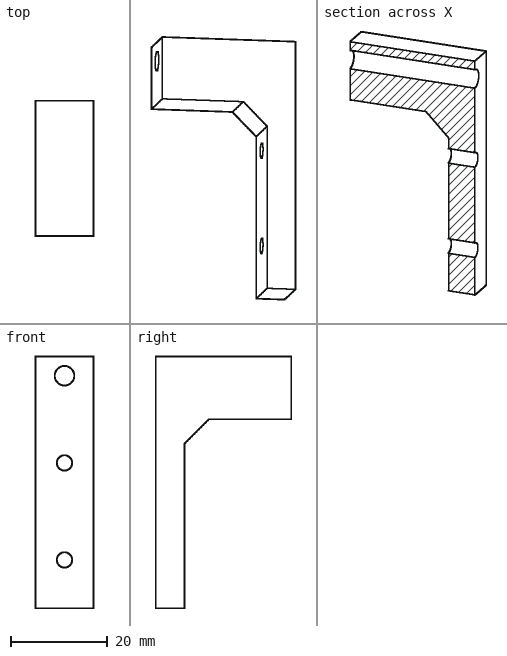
import cadquery as cq

width = 12.0
depth = 28.0
height = 52.0

leg_thickness = 6.0
head_height = 13.0
gusset_size = 5.0

head_hole_diameter = 4.0
head_hole_drop = 4.0
leg_hole_diameter = 3.1
lower_hole_height = 10.0
leg_hole_spacing = 20.0

head_bottom = height - head_height


def bracket_body():
    """Extrude the L-shaped profile, with its sloped inner corner, across the width."""
    return (
        cq.Workplane("YZ")
        .moveTo(0, 0)
        .lineTo(leg_thickness, 0)
        .lineTo(leg_thickness, head_bottom - gusset_size)
        .lineTo(leg_thickness + gusset_size, head_bottom)
        .lineTo(depth, head_bottom)
        .lineTo(depth, height)
        .lineTo(0, height)
        .close()
        .extrude(width / 2, both=True)
    )


def through_hole(diameter, hole_height):
    """Cylinder along Y through the full depth at the given height."""
    centre = cq.Vector(0, 0, hole_height)
    along_y = cq.Vector(0, 1, 0)
    return cq.Solid.makeCylinder(diameter / 2, depth, centre, along_y)


result = bracket_body()
result = result.cut(through_hole(head_hole_diameter, height - head_hole_drop))
for hole_height in (lower_hole_height, lower_hole_height + leg_hole_spacing):
    result = result.cut(through_hole(leg_hole_diameter, hole_height))